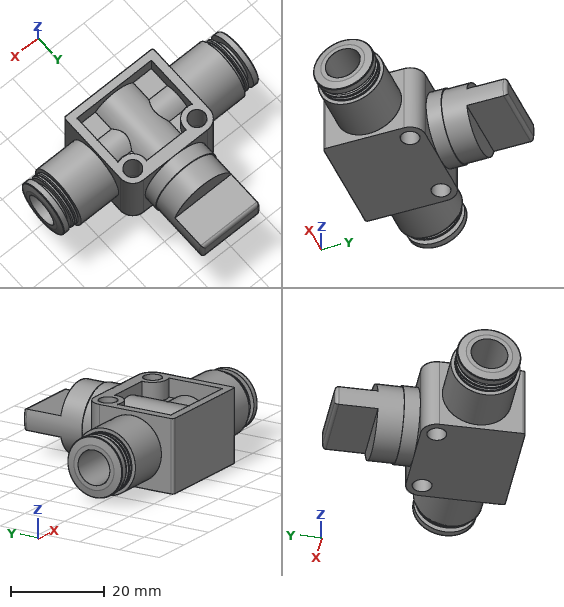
import cadquery as cq

length = 55.4
half_length = length / 2

body_width = 25.0
body_height = 17.0
body_back = 11.6
body_front = -10.5
front_corner_radius = 0.55
back_corner_radius = 3.5
top = body_height / 2

hole_diameter = 4.2
hole_x = body_width / 2 - back_corner_radius
hole_y = body_back - back_corner_radius

pocket_width = 20.85
pocket_length = 17.2
pocket_floor = 4.2
valve_tube_diameter = 13.5
port_tube_diameter = 10.75

sleeve_diameter = 15.0
sleeve_end = 23.0
ring_root_diameter = 12.85
ring_crest_diameter = 13.5
ring_bevel = 0.2
ring_crest_width = 0.45
ring_gap = 0.1
ring_count = 2
neck_diameter = 10.1
flange_inner_face = 25.85
flange_diameter = 13.8
flange_bevel = 0.15
face_flat_diameter = 10.1
face_cone_diameter = 13.5
face_cone_depth = 0.35
bore_diameter = 8.0
bore_depth = 11.1

collar_diameter = 17.0
collar_end = 15.0
knob_diameter = 16.5
knob_shoulder = 20.65
knob_end = 29.95
grip_thickness = 4.8
grip_rounding = 0.85


def cylinder_y(diameter, start, end):
    """Cylinder on the valve axis between two Y positions."""
    plane = cq.Plane(origin=(0, start, 0), xDir=(1, 0, 0), normal=(0, 1, 0))
    return cq.Workplane(plane).circle(diameter / 2).extrude(end - start)


def make_body():
    center_y = (body_back + body_front) / 2
    body = cq.Workplane("XY").box(body_width, body_back - body_front, body_height)
    body = body.translate((0, center_y, 0))
    body = body.edges("|Z and >Y").fillet(back_corner_radius)
    return body.edges("|Z and <Y").fillet(front_corner_radius)


def make_pocket():
    """Volume removed from the body, leaving the hole bosses and the inner tubes."""
    depth = top - pocket_floor
    pocket = (
        cq.Workplane("XY")
        .workplane(offset=pocket_floor)
        .rect(pocket_width, pocket_length)
        .extrude(depth)
    )
    bosses = (
        cq.Workplane("XY")
        .workplane(offset=pocket_floor)
        .pushPoints([(-hole_x, hole_y), (hole_x, hole_y)])
        .circle(back_corner_radius)
        .extrude(depth)
    )
    valve_tube = cylinder_y(valve_tube_diameter, body_front, body_back)
    port_tube = (
        cq.Workplane("YZ").circle(port_tube_diameter / 2).extrude(body_width / 2, both=True)
    )
    return pocket.cut(bosses).cut(valve_tube).cut(port_tube)


def make_port():
    """Port on the +X side, turned about the X axis."""
    root = ring_root_diameter / 2
    crest = ring_crest_diameter / 2
    profile = [(0, 0), (0, sleeve_diameter / 2), (sleeve_end, sleeve_diameter / 2)]
    x = sleeve_end
    for _ in range(ring_count):
        profile += [
            (x, root),
            (x + ring_bevel, crest),
            (x + ring_bevel + ring_crest_width, crest),
            (x + 2 * ring_bevel + ring_crest_width, root),
        ]
        x += 2 * ring_bevel + ring_crest_width + ring_gap
    rings_end = x - ring_gap
    cone_edge = half_length - face_cone_depth
    profile += [
        (rings_end, neck_diameter / 2),
        (flange_inner_face, neck_diameter / 2),
        (flange_inner_face, flange_diameter / 2),
        (cone_edge - flange_bevel, flange_diameter / 2),
        (cone_edge, face_cone_diameter / 2),
        (half_length, face_flat_diameter / 2),
        (half_length, 0),
    ]
    return cq.Workplane("XY").polyline(profile).close().revolve(360, (0, 0, 0), (1, 0, 0))


def make_bore():
    bore_start = half_length - bore_depth
    return cq.Workplane("YZ").workplane(offset=bore_start).circle(bore_diameter / 2).extrude(bore_depth)


def make_knob():
    collar = cylinder_y(collar_diameter, 0, collar_end)
    hub = cylinder_y(knob_diameter, 0, knob_shoulder)
    grip_slab = cq.Workplane("XY").box(knob_diameter, 2 * knob_end, grip_thickness)
    grip = cylinder_y(knob_diameter, 0, knob_end).intersect(grip_slab)
    grip = grip.faces(">Y").edges().fillet(grip_rounding)
    return collar.union(hub).union(grip)


def mirrored_pair(shape):
    return shape.union(shape.mirror("YZ"))


result = make_body().union(mirrored_pair(make_port())).union(make_knob())
result = result.cut(make_pocket()).cut(mirrored_pair(make_bore()))
mounting_holes = (
    cq.Workplane("XY")
    .pushPoints([(-hole_x, hole_y), (hole_x, hole_y)])
    .circle(hole_diameter / 2)
    .extrude(body_height, both=True)
)
result = result.cut(mounting_holes)